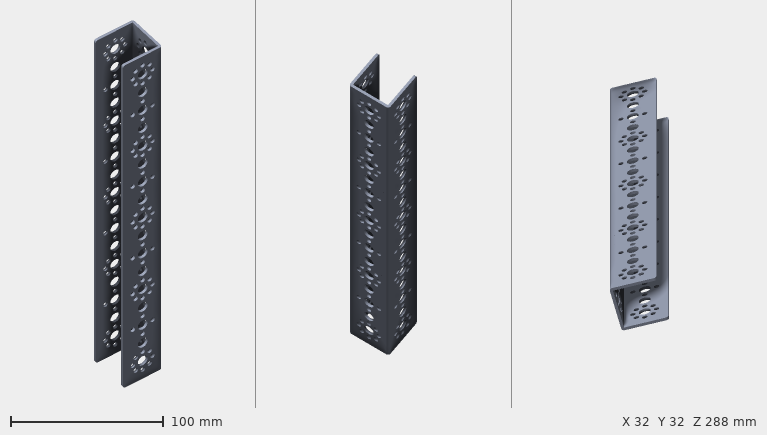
import cadquery as cq
import math

width = 32.0
length = 288.0
wall = 2.0
outer_bend_radius = 2.0
flange_corner_radius = 2.0

bore_diameter = 8.0
bolt_diameter = 3.7
bolt_circle_radius = 8.0
bore_pitch = 16.0
end_margin = 16.0
bore_count = round((length - 2 * end_margin) / bore_pitch) + 1

bolts_per_bore = (8, 0, 4, 0)


def make_channel():
    """U-shaped channel with rounded outer bends, sharp inner corners and rounded free flange corners."""
    half = width / 2
    outer = (
        cq.Workplane("XY")
        .rect(width, width)
        .extrude(length)
        .edges("|Z and >Y")
        .fillet(outer_bend_radius)
    )
    cavity = (
        cq.Workplane("XY")
        .center(0, -wall)
        .rect(width - 2 * wall, width)
        .extrude(length)
    )
    free_edges = cq.selectors.BoxSelector(
        (-width, -half - wall / 2, -wall),
        (width, -half + wall / 2, length + wall),
    )
    return outer.cut(cavity).edges("|X").edges(free_edges).fillet(flange_corner_radius)


def hole_points():
    """Bore centres and bolt centres as (across the face, along Z)."""
    bores = []
    bolts = []
    for index in range(bore_count):
        z = end_margin + index * bore_pitch
        bores.append((0, z))
        count = bolts_per_bore[index % len(bolts_per_bore)]
        for step in range(count):
            angle = 2 * math.pi * step / count
            across = bolt_circle_radius * math.cos(angle)
            along = z + bolt_circle_radius * math.sin(angle)
            bolts.append((across, along))
    return bores, bolts


def hole_cutter(plane):
    """Pins of the whole hole pattern, through the full width on both sides of a plane."""
    bores, bolts = hole_points()
    bore_pins = cq.Workplane(plane).pushPoints(bores).circle(bore_diameter / 2).extrude(width, both=True)
    bolt_pins = cq.Workplane(plane).pushPoints(bolts).circle(bolt_diameter / 2).extrude(width, both=True)
    return bore_pins.add(bolt_pins).combine()


web_holes = hole_cutter("XZ")
flange_holes = hole_cutter("YZ")
result = make_channel().cut(web_holes).cut(flange_holes)